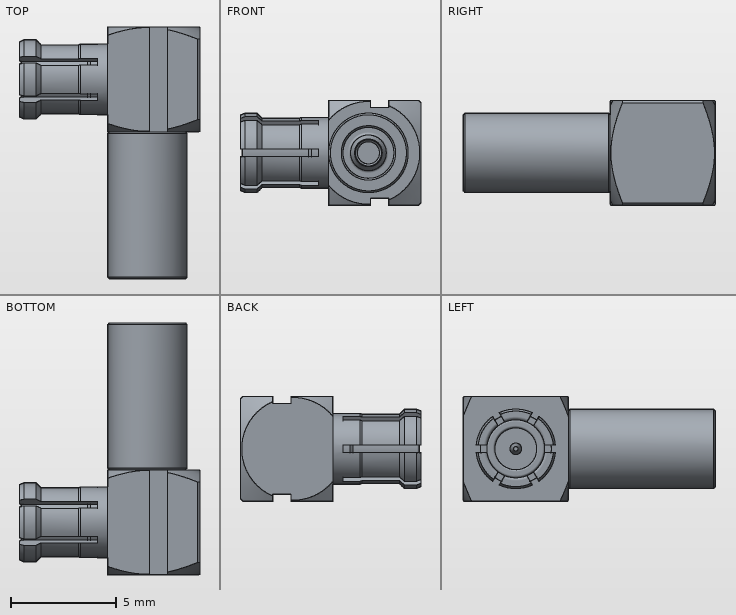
import cadquery as cq
import math


body_size = 5.0
body_length = 4.4
barrel_radius = 1.9
body_front = -barrel_radius
body_half = body_size / 2
back_chamfer = 0.12
corner_cone_radius = 2.45
corner_cone_angle = 30
groove_left = 0.11
groove_width = 0.85
groove_depth = 0.34

overall_length = 12
barrel_end = body_half - overall_length
barrel_chamfer = 0.08
barrel_bore_radius = 1.21
barrel_bore_chamfer = 0.08

post_length = 1.44
post_radius = 0.85
post_tip_radius = 0.66
post_tip_taper = 0.36
post_fillet = 0.12
post_hole_radius = 0.53
post_hole_chamfer = 0.1

plug_length = 4.2
plug_tip = body_front - plug_length
plug_radius = 1.69
waist_radius = 1.65
waist_end = 2.9
waist_step_length = 0.08
head_radius = 1.9
head_end = 0.79
head_cone_end = 1.03
tip_radius = 1.8
tip_taper = 0.22
finger_bore_radius = 1.38
finger_mouth_fillet = 0.15
slot_count = 6
slot_width = 0.36
slot_length = 3.72

sleeve_recess = 0.08
sleeve_radius = finger_bore_radius
sleeve_end = 3.25
sleeve_rim_fillet = 0.1
sleeve_groove_depth = 0.15
sleeve_bore_radius = 1.0
pin_recess = 0.3
pin_radius = 0.28
pin_tip_radius = 0.11
pin_taper = 0.6


def turned_about_x(points):
    """Revolve a closed (distance from plug tip, radius) profile about the plug axis."""
    profile = [(plug_tip + distance, radius) for distance, radius in points]
    return cq.Workplane("XY").polyline(profile).close().revolve(360, (0, 0, 0), (1, 0, 0))


def turned_about_y(points):
    """Revolve a closed (radius, Y) profile about the cable axis."""
    return cq.Workplane("XY").polyline(points).close().revolve(360, (0, 0, 0), (0, 1, 0))


def make_body():
    block = cq.Workplane("XY").box(body_length, body_size, body_size)
    block = block.translate((body_front + body_length / 2, 0, 0))
    block = block.edges("|Y and >X").chamfer(back_chamfer)

    cone_rim = corner_cone_radius + body_half / math.tan(math.radians(corner_cone_angle))
    block = block.intersect(turned_about_y([
        (0, -body_half),
        (corner_cone_radius, -body_half),
        (cone_rim, 0),
        (corner_cone_radius, body_half),
        (0, body_half),
    ]))

    groove = cq.Workplane("XY").box(groove_width, body_size, groove_depth)
    groove_x = groove_left + groove_width / 2
    groove_z = body_half - groove_depth / 2
    for side in (1, -1):
        block = block.cut(groove.translate((groove_x, 0, side * groove_z)))
    return block


def make_barrel():
    return turned_about_y([
        (barrel_bore_radius, -body_half),
        (barrel_radius - barrel_chamfer, -body_half),
        (barrel_radius, -body_half - barrel_chamfer),
        (barrel_radius, barrel_end + barrel_chamfer),
        (barrel_radius - barrel_chamfer, barrel_end),
        (barrel_bore_radius + barrel_bore_chamfer, barrel_end),
        (barrel_bore_radius, barrel_end + barrel_bore_chamfer),
    ])


def make_post():
    post_end = -body_half - post_length
    foot_radius = post_radius + post_fillet
    arc_offset = post_fillet * (1 - math.sqrt(0.5))
    return (
        cq.Workplane("XY")
        .moveTo(post_hole_radius, -body_half)
        .lineTo(foot_radius, -body_half)
        .threePointArc(
            (post_radius + arc_offset, -body_half - arc_offset),
            (post_radius, -body_half - post_fillet),
        )
        .lineTo(post_radius, post_end + post_tip_taper)
        .lineTo(post_tip_radius, post_end)
        .lineTo(post_hole_radius + post_hole_chamfer, post_end)
        .lineTo(post_hole_radius, post_end + post_hole_chamfer)
        .close()
        .revolve(360, (0, 0, 0), (0, 1, 0))
    )


def make_fingers():
    fingers = turned_about_x([
        (0, finger_bore_radius),
        (0, tip_radius),
        (tip_taper, head_radius),
        (head_end, head_radius),
        (head_cone_end, waist_radius),
        (waist_end - waist_step_length, waist_radius),
        (waist_end, plug_radius),
        (plug_length, plug_radius),
        (plug_length, 0),
        (slot_length, 0),
        (slot_length, finger_bore_radius),
    ])
    mouth_edge = fingers.faces("<X").edges(cq.selectors.RadiusNthSelector(0))
    fingers = mouth_edge.fillet(finger_mouth_fillet)
    slot = (
        cq.Workplane("XY")
        .box(slot_length, head_radius, slot_width)
        .translate((plug_tip + slot_length / 2, head_radius / 2, 0))
    )
    for index in range(slot_count):
        angle = index * 360 / slot_count
        fingers = fingers.cut(slot.rotate((0, 0, 0), (1, 0, 0), angle))
    return fingers


def make_sleeve():
    sleeve = turned_about_x([
        (sleeve_recess, sleeve_bore_radius),
        (sleeve_recess, sleeve_radius),
        (sleeve_end, sleeve_radius),
        (sleeve_end, sleeve_radius - sleeve_groove_depth),
        (sleeve_end + sleeve_groove_depth, sleeve_radius),
        (slot_length, sleeve_radius),
        (slot_length, 0),
        (sleeve_end, 0),
        (sleeve_end, sleeve_bore_radius),
    ])
    return sleeve.faces("<X").edges().fillet(sleeve_rim_fillet)


def make_pin():
    return turned_about_x([
        (pin_recess, 0),
        (pin_recess, pin_tip_radius),
        (pin_recess + pin_taper, pin_radius),
        (sleeve_end, pin_radius),
        (sleeve_end, 0),
    ])


result = make_body()
for piece in (make_barrel(), make_post(), make_fingers(), make_sleeve(), make_pin()):
    result = result.union(piece)